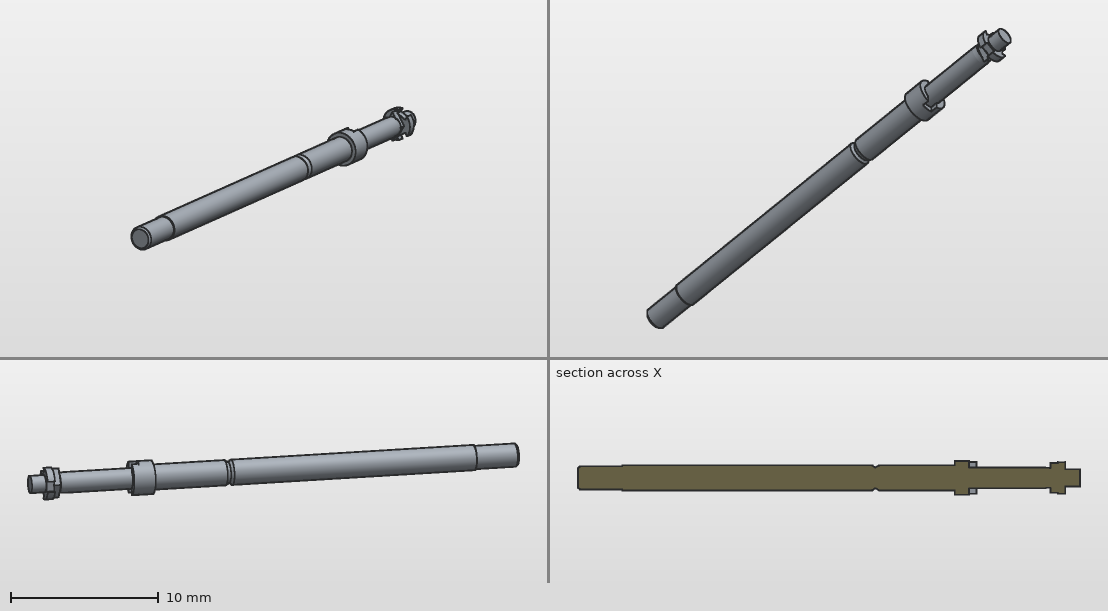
import cadquery as cq

length = 34.0
tip_y = length / 2

washer_start = 1.0
washer_end = 1.5
diamond_end = 2.0
neck_end = 2.38
collar_start = 7.0
collar_end = 8.5
groove_start = 13.6
groove_bottom = 13.87
groove_end = 14.08
tail_start = 31.0

tip_diameter = 1.2
neck_diameter = 1.35
shaft_diameter = 1.43
washer_diameter = 2.18
collar_diameter = 2.3
tube_diameter = 1.75
tail_diameter = 1.6
groove_depth = 0.153
tail_chamfer = 0.15

washer_slot_count = 3
washer_slot_width = 0.75
washer_slot_floor = 0.75

diamond_half_width = 0.6
diamond_half_height = 1.02

keyway_width = 0.78
keyway_length = 0.5


def rod(start, end, diameter):
    """Cylinder along Y between two stations."""
    section = cq.Workplane("XZ", origin=(0, tip_y - start, 0))
    return section.circle(diameter / 2).extrude(end - start)


def turned(outline):
    """Solid of revolution about Y from a closed (radius, y) outline."""
    return cq.Workplane("XY").polyline(outline).close().revolve(360, (0, 0, 0), (0, 1, 0))


def slotted_washer():
    """Thin disc with flat-floored slots in its rim; the first slot faces -X."""
    washer = rod(washer_start, washer_end, washer_diameter)
    thickness = washer_end - washer_start
    slot_depth = washer_diameter / 2 - washer_slot_floor
    slot = cq.Workplane("XY").box(slot_depth, thickness, washer_slot_width).translate(
        (-washer_slot_floor - slot_depth / 2, tip_y - (washer_start + washer_end) / 2, 0)
    )
    for index in range(washer_slot_count):
        angle = index * 360 / washer_slot_count
        washer = washer.cut(slot.rotate((0, 0, 0), (0, 1, 0), angle))
    return washer


def diamond_neck():
    """Rhombic prism, tall in Z, directly behind the washer."""
    corners = [
        (diamond_half_width, 0),
        (0, diamond_half_height),
        (-diamond_half_width, 0),
        (0, -diamond_half_height),
    ]
    section = cq.Workplane("XZ", origin=(0, tip_y - washer_end, 0))
    return section.polyline(corners).close().extrude(diamond_end - washer_end)


def keyed_collar():
    """Collar with a keyway down to the shaft at its top and bottom."""
    collar = rod(collar_start, collar_end, collar_diameter)
    keyways = cq.Workplane("XY").box(keyway_width, keyway_length, collar_diameter).translate(
        (0, tip_y - collar_start - keyway_length / 2, 0)
    )
    return collar.cut(keyways)


def tapered_shaft():
    """Shaft whose first stretch widens slightly from the diamond neck."""
    neck_radius = neck_diameter / 2
    shaft_radius = shaft_diameter / 2
    outline = [
        (0, tip_y - diamond_end),
        (neck_radius, tip_y - diamond_end),
        (shaft_radius, tip_y - neck_end),
        (shaft_radius, tip_y - collar_end),
        (0, tip_y - collar_end),
    ]
    return turned(outline)


def grooved_tube():
    """Long tube with a V groove round it."""
    tube_radius = tube_diameter / 2
    outline = [
        (0, tip_y - collar_end),
        (tube_radius, tip_y - collar_end),
        (tube_radius, tip_y - groove_start),
        (tube_radius - groove_depth, tip_y - groove_bottom),
        (tube_radius, tip_y - groove_end),
        (tube_radius, tip_y - tail_start),
        (0, tip_y - tail_start),
    ]
    return turned(outline)


tip = rod(0, washer_end, tip_diameter)
tail = rod(tail_start, length, tail_diameter).faces("<Y").chamfer(tail_chamfer)

result = (
    tip.union(slotted_washer())
    .union(diamond_neck())
    .union(keyed_collar())
    .union(tapered_shaft())
    .union(grooved_tube())
    .union(tail)
)